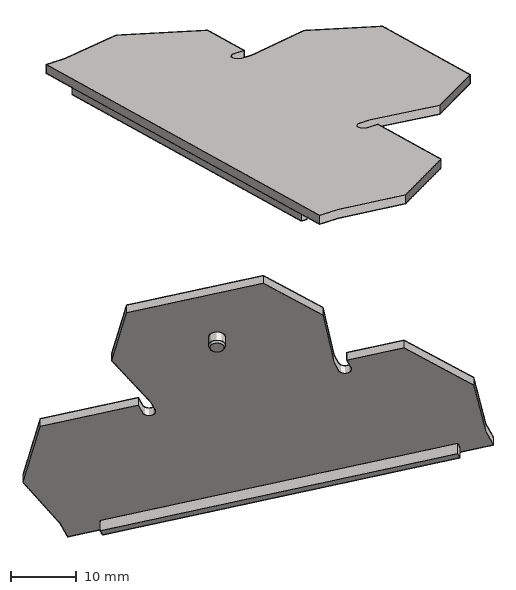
import cadquery as cq
import math

plate_thickness = 1.5
plate_depth = 49.0
flank_angle = math.radians(60)

lower_width = 72.5
lower_height = 27.0
lower_shoulder_run = 7.0
base_width = 68.5
base_height = 3.5

upper_center_x = -3.3
upper_width = 34.0
upper_shoulder_run = 6.0
neck_width = 29.5

slot_width = 2.0
slot_bottom_y = 24.0

underside_depth = 2.0
rib_thickness = 1.1
rib_front_y = 1.1
rib_length = 57.5
rib_left_x = lower_shoulder_run - lower_width / 2
pin_diameter = 2.6
pin_chamfer_height = 0.4
pin_chamfer_width = 0.2
pin_y = 38.8


def shoulder_rise(run):
    return run * math.tan(flank_angle)


def right_half_points(center_x, width, top_y, shoulder_run, foot_width, foot_y):
    """Foot, widest corner and top corner of a tier's right flank, from bottom to top."""
    return [
        (center_x + foot_width / 2, foot_y),
        (center_x + width / 2, top_y - shoulder_rise(shoulder_run)),
        (center_x + width / 2 - shoulder_run, top_y),
    ]


def mirrored(points, center_x):
    """The points reflected about X = center_x, in reverse order."""
    return [(2 * center_x - x, y) for x, y in reversed(points)]


def make_plate():
    slot_radius = slot_width / 2
    slot_arc_y = slot_bottom_y + slot_radius
    neck_right_x = upper_center_x + neck_width / 2
    neck_left_x = upper_center_x - neck_width / 2

    lower_right = right_half_points(
        0, lower_width, lower_height, lower_shoulder_run, base_width, base_height
    )
    upper_right = right_half_points(
        upper_center_x, upper_width, plate_depth, upper_shoulder_run, neck_width, lower_height
    )
    lower_left = mirrored(lower_right, 0)
    upper_left = mirrored(upper_right, upper_center_x)

    outline = cq.Workplane("XY").moveTo(-base_width / 2, 0).lineTo(base_width / 2, 0)
    for point in lower_right:
        outline = outline.lineTo(*point)
    outline = (
        outline.lineTo(neck_right_x + slot_width, lower_height)
        .lineTo(neck_right_x + slot_width, slot_arc_y)
        .threePointArc((neck_right_x + slot_radius, slot_bottom_y), (neck_right_x, slot_arc_y))
    )
    for point in upper_right + upper_left:
        outline = outline.lineTo(*point)
    outline = (
        outline.lineTo(neck_left_x, slot_arc_y)
        .threePointArc((neck_left_x - slot_radius, slot_bottom_y), (neck_left_x - slot_width, slot_arc_y))
        .lineTo(neck_left_x - slot_width, lower_height)
    )
    for point in lower_left:
        outline = outline.lineTo(*point)
    return outline.close().extrude(plate_thickness)


def make_rib():
    return (
        cq.Workplane("XY")
        .moveTo(rib_left_x, rib_front_y)
        .rect(rib_length, rib_thickness, centered=False)
        .extrude(-underside_depth)
    )


def make_pin():
    return (
        cq.Workplane("XY")
        .center(upper_center_x, pin_y)
        .circle(pin_diameter / 2)
        .extrude(-underside_depth)
        .faces("<Z")
        .chamfer(pin_chamfer_height, pin_chamfer_width)
    )


result = make_plate().union(make_rib()).union(make_pin())